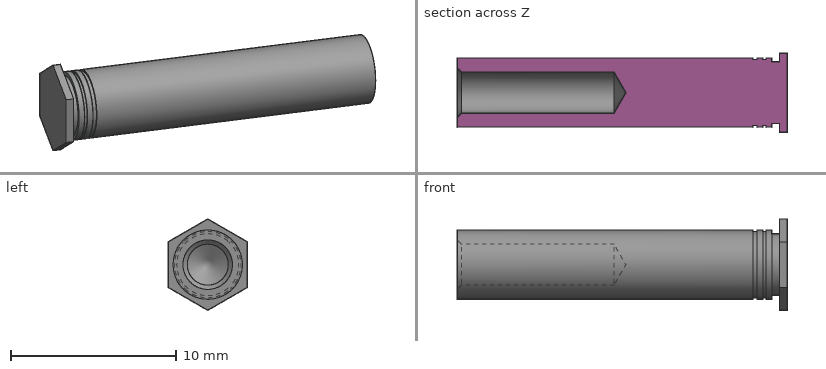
import cadquery as cq
import math

length = 20.0
barrel_diameter = 4.2

head_across_flats = 4.8
head_thickness = 0.48

neck_diameter = 3.75
neck_length = 0.45

groove_depth = 0.09
groove_widths = (0.18, 0.25)
land_width = 0.35

bore_diameter = 2.48
mouth_diameter = 3.0
mouth_angle = 90.0
bore_depth = 9.5
drill_point_angle = 120.0


def cylinder(start, diameter, height):
    """Solid cylinder along +X beginning at X = start."""
    return cq.Workplane("YZ", origin=(start, 0, 0)).circle(diameter / 2).extrude(height)


def ring_groove(start, width, floor_diameter):
    """Cutter that turns the barrel down to floor_diameter."""
    outer = cylinder(start, barrel_diameter, width)
    return outer.cut(cylinder(start, floor_diameter, width))


def hex_head():
    across_corners = head_across_flats / math.cos(math.pi / 6)
    return (
        cq.Workplane("YZ", origin=(length - head_thickness, 0, 0))
        .transformed(rotate=(0, 0, 90))
        .polygon(6, across_corners)
        .extrude(head_thickness)
    )


def bore():
    """Revolved cutter: countersink, straight hole and conical drill point."""
    bore_radius = bore_diameter / 2
    mouth_radius = mouth_diameter / 2
    mouth_depth = (mouth_radius - bore_radius) / math.tan(math.radians(mouth_angle / 2))
    point_depth = bore_radius / math.tan(math.radians(drill_point_angle / 2))
    return (
        cq.Workplane("XY")
        .lineTo(0, mouth_radius)
        .lineTo(mouth_depth, bore_radius)
        .lineTo(bore_depth, bore_radius)
        .lineTo(bore_depth + point_depth, 0)
        .close()
        .revolve(360, (0, 0, 0), (1, 0, 0))
    )


head_start = length - head_thickness
neck_start = head_start - neck_length
body = cylinder(0, barrel_diameter, head_start)
body = body.cut(ring_groove(neck_start, neck_length, neck_diameter))

land_end = neck_start
for width in groove_widths:
    groove_start = land_end - land_width - width
    body = body.cut(ring_groove(groove_start, width, barrel_diameter - 2 * groove_depth))
    land_end = groove_start

result = body.union(hex_head()).cut(bore())